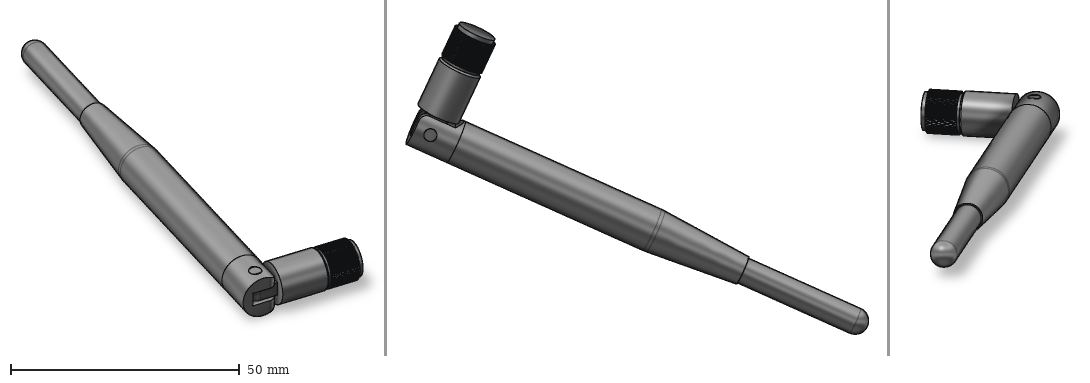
import cadquery as cq
import math


BODY_DIAMETER = 9.9
BODY_RADIUS = BODY_DIAMETER / 2
ROD_RADIUS = 3.0
CONE_START_RADIUS = 3.3
CONE_START_X = 30.1
CONE_END_X = 51.4
CONE_BLEND_LENGTH = 0.4
SLEEVE_END_X = 99.0

TOTAL_LENGTH = 110.1
TOTAL_DEPTH = 29.4
BARREL_RADIUS = BODY_RADIUS
CONNECTOR_Z = 0.1
PIVOT_X = TOTAL_LENGTH - BARREL_RADIUS
CONNECTOR_END_Y = TOTAL_DEPTH - BODY_RADIUS
BARREL_START_Y = 4.2
BARREL_END_Y = 15.9
BARREL_CHAMFER = 0.4

CORE_RADIUS = 4.3
COLLAR_LENGTH = 1.0
KNURL_START_Y = 16.5
KNURL_END_Y = CONNECTOR_END_Y - COLLAR_LENGTH
KNURL_RADIUS = 4.8
KNURL_DEPTH = 0.2
KNURL_COUNT = 90

TONGUE_WIDTH = 5.1
TONGUE_RADIUS = TONGUE_WIDTH / 2
TONGUE_THICKNESS = 3.3
PIN_RADIUS = 1.4
PIN_LENGTH = 9.3

FORK_END_X = 108.8
FLAT_Y = 3.5
RAMP_START_X = 99.3
RAMP_END_X = RAMP_START_X + BODY_RADIUS - FLAT_Y
FORK_CORNER_RADIUS = 1.8


def y_cylinder(radius, start_y, end_y):
    """Cylinder around the connector axis between two Y positions."""
    return (
        cq.Workplane("XZ", origin=(PIVOT_X, start_y, CONNECTOR_Z))
        .circle(radius)
        .extrude(start_y - end_y)
    )


def z_cylinder(radius, height):
    """Cylinder around the pivot axis, centred on the height of the connector axis."""
    plane = cq.Workplane("XY", origin=(PIVOT_X, 0, CONNECTOR_Z))
    return plane.circle(radius).extrude(height / 2, both=True)


def make_sleeve():
    """Revolved handle with a cone, a slim rod and a hemispherical tip."""
    tip_mid = ROD_RADIUS * math.sqrt(0.5)
    cone_angle = math.atan2(BODY_RADIUS - CONE_START_RADIUS, CONE_END_X - CONE_START_X)
    blend_start = (
        CONE_END_X - CONE_BLEND_LENGTH * math.cos(cone_angle),
        BODY_RADIUS - CONE_BLEND_LENGTH * math.sin(cone_angle),
    )
    profile = (
        cq.Workplane("XY")
        .moveTo(0, 0)
        .threePointArc((ROD_RADIUS - tip_mid, tip_mid), (ROD_RADIUS, ROD_RADIUS))
        .lineTo(CONE_START_X, ROD_RADIUS)
        .lineTo(CONE_START_X, CONE_START_RADIUS)
        .lineTo(*blend_start)
        .tangentArcPoint((CONE_END_X + CONE_BLEND_LENGTH, BODY_RADIUS), relative=False)
        .lineTo(SLEEVE_END_X, BODY_RADIUS)
        .lineTo(SLEEVE_END_X, 0)
        .close()
    )
    return profile.revolve(360, (0, 0, 0), (1, 0, 0))


def make_fork():
    """Cylinder cut flat on its +Y side, slotted for the tongue and bored for the pin."""
    cylinder = (
        cq.Workplane("YZ", origin=(SLEEVE_END_X, 0, 0))
        .circle(BODY_RADIUS)
        .extrude(FORK_END_X - SLEEVE_END_X)
    )
    outline = (
        cq.Workplane("XY")
        .moveTo(SLEEVE_END_X, -BODY_RADIUS)
        .lineTo(FORK_END_X, -BODY_RADIUS)
        .lineTo(FORK_END_X, FLAT_Y - FORK_CORNER_RADIUS)
        .radiusArc((FORK_END_X - FORK_CORNER_RADIUS, FLAT_Y), -FORK_CORNER_RADIUS)
        .lineTo(RAMP_END_X, FLAT_Y)
        .lineTo(RAMP_START_X, BODY_RADIUS)
        .lineTo(SLEEVE_END_X, BODY_RADIUS)
        .close()
        .extrude(BODY_RADIUS, both=True)
    )
    slot_start_x = PIVOT_X - TONGUE_RADIUS
    slot = (
        cq.Workplane("XY", origin=(0, 0, CONNECTOR_Z))
        .moveTo(PIVOT_X, -TONGUE_RADIUS)
        .lineTo(FORK_END_X, -TONGUE_RADIUS)
        .lineTo(FORK_END_X, FLAT_Y)
        .lineTo(slot_start_x, FLAT_Y)
        .lineTo(slot_start_x, 0)
        .radiusArc((PIVOT_X, -TONGUE_RADIUS), -TONGUE_RADIUS)
        .close()
        .extrude(TONGUE_THICKNESS / 2, both=True)
    )
    return cylinder.intersect(outline).cut(slot).cut(z_cylinder(PIN_RADIUS, 2 * BODY_DIAMETER))


def make_tongue():
    """Flat tongue with a round end around the pivot, and the pivot pin through it."""
    blade = (
        cq.Workplane("XY", origin=(PIVOT_X, BARREL_START_Y / 2, CONNECTOR_Z))
        .rect(TONGUE_WIDTH, BARREL_START_Y)
        .extrude(TONGUE_THICKNESS / 2, both=True)
    )
    round_end = z_cylinder(TONGUE_RADIUS, TONGUE_THICKNESS)
    pin = z_cylinder(PIN_RADIUS, PIN_LENGTH)
    return blade.union(round_end).union(pin)


def make_knurled_band():
    """Band with straight V-shaped teeth parallel to the connector axis."""
    points = []
    for i in range(KNURL_COUNT * 2):
        angle = math.pi * i / KNURL_COUNT
        radius = KNURL_RADIUS - KNURL_DEPTH * (i % 2)
        points.append((radius * math.cos(angle), radius * math.sin(angle)))
    return (
        cq.Workplane("XZ", origin=(PIVOT_X, KNURL_START_Y, CONNECTOR_Z))
        .polyline(points)
        .close()
        .extrude(KNURL_START_Y - KNURL_END_Y)
    )


def make_connector():
    """Tongue and pin, swivel barrel, and the knurled nut at the +Y end."""
    barrel = y_cylinder(BARREL_RADIUS, BARREL_START_Y, BARREL_END_Y)
    barrel = barrel.faces(">Y").chamfer(BARREL_CHAMFER)
    core = y_cylinder(CORE_RADIUS, BARREL_END_Y, CONNECTOR_END_Y)
    return barrel.union(core).union(make_knurled_band()).union(make_tongue())


sleeve = make_sleeve()
fork = make_fork()
connector = make_connector()
result = cq.Compound.makeCompound([sleeve.val(), fork.val(), connector.val()])